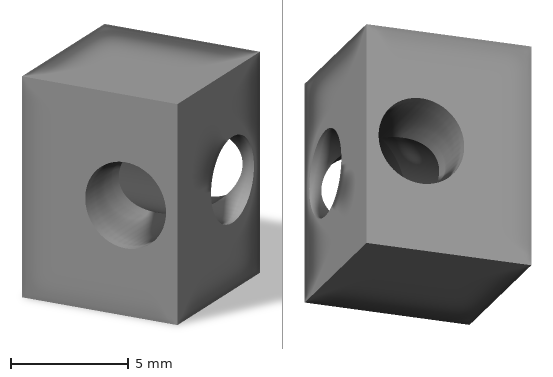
import cadquery as cq

side = 7.5
height = 10.0

hole_diameter = 3.9
hole_inset = 2.5
hole_offset = side / 2 - hole_inset


def through_hole(plane, horizontal_offset):
    """Cylinder through the block, normal to the plane, at mid height."""
    return (
        cq.Workplane(plane)
        .center(horizontal_offset, 0)
        .circle(hole_diameter / 2)
        .extrude(side, both=True)
    )


block = cq.Workplane("XY").box(side, side, height)
hole_along_y = through_hole("XZ", hole_offset)
hole_along_x = through_hole("YZ", hole_offset)

result = block.cut(hole_along_y).cut(hole_along_x)